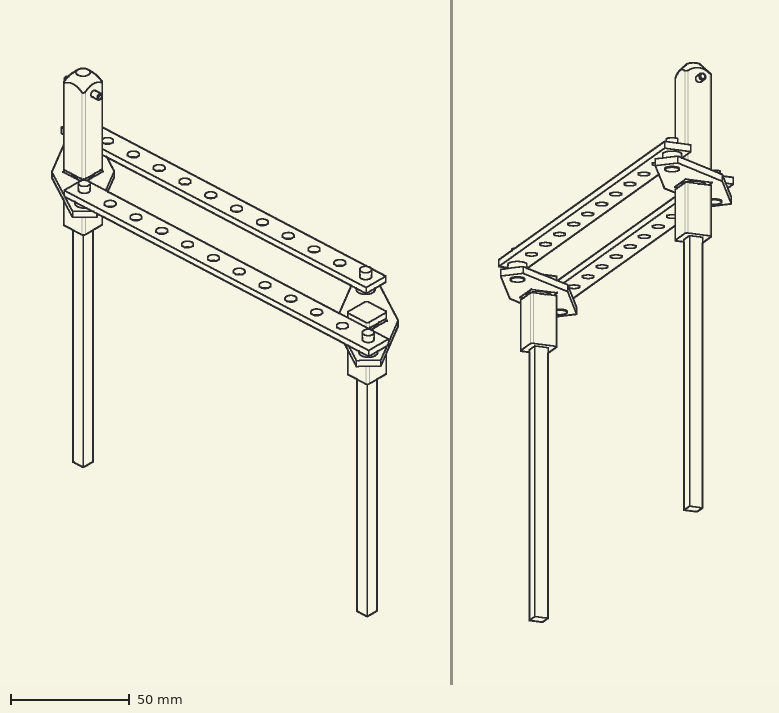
import cadquery as cq
import math

overall_length = 215.2
overall_width = 50.1
overall_height = 196.0

post_spacing = overall_length - overall_width
pin_offset = 17.0

stock_thickness = 3.0
plate_bottom = 143.1
plate_top = plate_bottom + stock_thickness
spacer_height = 3.5
bar_bottom = plate_top + spacer_height
bar_top = bar_bottom + stock_thickness

bar_width = 12.0
hole_count = 12
hole_pitch = post_spacing / (hole_count - 1)

plate_angle = -45.0
plate_half_length = 30.3
plate_end_half_width = overall_width / math.sqrt(2) - plate_half_length
plate_waist_half_width = 13.1

pin_diameter = 5.0
spacer_diameter = 8.0
rivet_diameter = 6.0
rivet_height = 0.5
pin_projection = 3.5

rod_width = 6.0
collar_width = 12.0
collar_bottom = 119.5
edge_radius = 1.0
neck_diameter = 10.3
neck_gap = 1.3
cap_height = 3.0

head_flat_diameter = 6.0
head_base_diameter = collar_width * math.sqrt(2)
head_cone_height = (head_base_diameter - head_flat_diameter) / 2
cross_pin_length = 20.0
cross_pin_diameter = 3.0
cross_pin_chamfer = 0.5
cross_pin_drop = 8.0


def cylinder(diameter, bottom, top, x=0, y=0):
    return cq.Workplane("XY", origin=(x, y, bottom)).circle(diameter / 2).extrude(top - bottom)


def square_block(width, bottom, top):
    return cq.Workplane("XY", origin=(0, 0, bottom)).rect(width, width).extrude(top - bottom)


def make_bar():
    """Flat bar with a row of equally spaced holes, the outer ones on the pivot pins."""
    bar = cq.Workplane("XY", origin=(0, 0, bar_bottom))
    bar = bar.rect(post_spacing + bar_width, bar_width).extrude(stock_thickness)
    holes = cq.Workplane("XY", origin=(0, 0, bar_bottom)).rarray(hole_pitch, 2.2, hole_count, 1)
    holes = holes.circle(pin_diameter / 2).extrude(stock_thickness)
    return bar.cut(holes)


def make_plate():
    """Hexagonal plate with a square hole for the post and a stepped pin near each end."""
    outline = [
        (plate_half_length, plate_end_half_width),
        (0, plate_waist_half_width),
        (-plate_half_length, plate_end_half_width),
        (-plate_half_length, -plate_end_half_width),
        (0, -plate_waist_half_width),
        (plate_half_length, -plate_end_half_width),
    ]
    plate = cq.Workplane("XY", origin=(0, 0, plate_bottom)).polyline(outline).close()
    plate = plate.extrude(stock_thickness)
    plate = plate.rotate((0, 0, 0), (0, 0, 1), plate_angle)
    plate = plate.cut(square_block(collar_width, plate_bottom, plate_top))
    for side in (-1, 1):
        x, y = side * pin_offset, -side * pin_offset
        plate = plate.union(cylinder(rivet_diameter, plate_bottom - rivet_height, plate_bottom, x, y))
        plate = plate.union(cylinder(spacer_diameter, plate_top, bar_bottom, x, y))
        plate = plate.union(cylinder(pin_diameter, bar_bottom, bar_top + pin_projection, x, y))
    return plate


def make_post(top):
    """Square rod, collar and upper section; a sharp square fills the plate, with a round neck each side."""
    collar_top = plate_bottom - neck_gap
    upper_bottom = plate_top + neck_gap
    collar = square_block(collar_width, collar_bottom, collar_top).edges("|Z").fillet(edge_radius)
    upper = square_block(collar_width, upper_bottom, top).edges("|Z").fillet(edge_radius)
    post = square_block(rod_width, 0, collar_bottom).union(collar)
    post = post.union(cylinder(neck_diameter, collar_top, upper_bottom))
    post = post.union(square_block(collar_width, plate_bottom, plate_top))
    return post.union(upper)


def make_tall_post():
    """Post with a conical head and a cross pin along X."""
    post = make_post(overall_height)
    cone_bottom = overall_height - head_cone_height
    below_cone = square_block(collar_width, 0, cone_bottom)
    cone = cq.Solid.makeCone(
        head_base_diameter / 2, head_flat_diameter / 2, head_cone_height, pnt=cq.Vector(0, 0, cone_bottom)
    )
    post = post.intersect(cq.Workplane(cone).union(below_cone))
    cross_pin = cq.Workplane("YZ", origin=(-cross_pin_length / 2, 0, overall_height - cross_pin_drop))
    cross_pin = cross_pin.circle(cross_pin_diameter / 2).extrude(cross_pin_length)
    cross_pin = cross_pin.faces("<X or >X").chamfer(cross_pin_chamfer)
    return post.union(cross_pin)


def make_short_post():
    """Post that ends in a low square cap."""
    return make_post(plate_top + neck_gap + cap_height)


post_x = post_spacing / 2
tall_post = make_tall_post().translate((-post_x, 0, 0))
short_post = make_short_post().translate((post_x, 0, 0))
plates = [make_plate().translate((side * post_x, 0, 0)) for side in (-1, 1)]
bars = [make_bar().translate((side * pin_offset, -side * pin_offset, 0)) for side in (-1, 1)]

result = cq.Compound.makeCompound(
    [tall_post.val(), short_post.val(), *[plate.val() for plate in plates], *[bar.val() for bar in bars]]
)